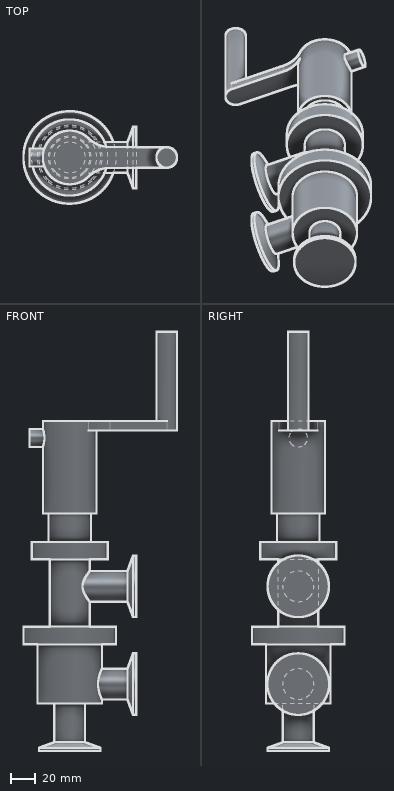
import cadquery as cq
import math


tube_diameter = 25.4
ferrule_diameter = 50.5
ferrule_rim = 2.85
ferrule_back_angle = 20.0
port_reach = 54.7
ferrule_cone = (ferrule_diameter - tube_diameter) / 2 * math.tan(math.radians(ferrule_back_angle))

bottom_tube_length = 39.0
lower_barrel_diameter = 53.0
lower_barrel_height = 48.5
lower_flange_diameter = 76.0
flange_height = 14.5
lower_port_z = 55.0

upper_barrel_diameter = 33.0
upper_barrel_height = 55.0
upper_flange_diameter = 62.5
port_spacing = 80.0

neck_diameter = 35.0
neck_height = 23.0
drum_diameter = 44.0
drum_height = 76.0
stud_diameter = 15.0
stud_reach = 33.0
stud_depth_from_top = 14.0
arm_thickness = 8.0
arm_blend_radius = 25.0
grip_diameter = 17.0
grip_x = 79.5
overall_height = 343.5

lower_barrel_top = bottom_tube_length + lower_barrel_height
lower_housing_top = lower_barrel_top + flange_height
upper_barrel_top = lower_housing_top + upper_barrel_height
upper_housing_top = upper_barrel_top + flange_height
neck_top = upper_housing_top + neck_height
drum_top = neck_top + drum_height
arm_bottom = drum_top - arm_thickness
upper_port_z = lower_port_z + port_spacing


def upright_cylinder(diameter, bottom, top):
    """Cylinder on the valve axis between two levels."""
    return cq.Workplane("XY").workplane(offset=bottom).circle(diameter / 2).extrude(top - bottom)


def ferrule_tube(length):
    """Tube along +Z with its ferrule face at Z = 0."""
    tube_radius = tube_diameter / 2
    rim_radius = ferrule_diameter / 2
    half_section = (
        cq.Workplane("XZ")
        .moveTo(0, 0)
        .lineTo(rim_radius, 0)
        .lineTo(rim_radius, ferrule_rim)
        .lineTo(tube_radius, ferrule_rim + ferrule_cone)
        .lineTo(tube_radius, length)
        .lineTo(0, length)
        .close()
    )
    return half_section.revolve(360, (0, 0, 0), (0, 1, 0))


def side_port(level):
    """Ferrule tube that runs from the valve axis out to +X."""
    return ferrule_tube(port_reach).rotate((0, 0, 0), (0, 1, 0), -90).translate((port_reach, 0, level))


def make_lower_housing():
    barrel = upright_cylinder(lower_barrel_diameter, bottom_tube_length, lower_barrel_top)
    flange = upright_cylinder(lower_flange_diameter, lower_barrel_top, lower_housing_top)
    bottom_port = ferrule_tube(bottom_tube_length)
    return bottom_port.union(barrel).union(flange).union(side_port(lower_port_z))


def make_upper_housing():
    barrel = upright_cylinder(upper_barrel_diameter, lower_housing_top, upper_barrel_top)
    flange = upright_cylinder(upper_flange_diameter, upper_barrel_top, upper_housing_top)
    return barrel.union(flange).union(side_port(upper_port_z))


def make_crank_arm():
    """Flat arm that flows out of the drum through two concave arcs and ends round about the grip."""
    half_width = grip_diameter / 2
    drum_radius = drum_diameter / 2
    blend_y = half_width + arm_blend_radius
    centre_distance = drum_radius + arm_blend_radius
    blend_x = math.sqrt(centre_distance**2 - blend_y**2)
    touch_x = blend_x * drum_radius / centre_distance
    touch_y = blend_y * drum_radius / centre_distance
    outline = (
        cq.Workplane("XY")
        .workplane(offset=arm_bottom)
        .moveTo(0, -touch_y)
        .lineTo(touch_x, -touch_y)
        .radiusArc((blend_x, -half_width), arm_blend_radius)
        .lineTo(grip_x, -half_width)
        .threePointArc((grip_x + half_width, 0), (grip_x, half_width))
        .lineTo(blend_x, half_width)
        .radiusArc((touch_x, touch_y), arm_blend_radius)
        .lineTo(0, touch_y)
        .close()
    )
    return outline.extrude(arm_thickness)


def make_actuator():
    neck = upright_cylinder(neck_diameter, upper_housing_top, neck_top)
    drum = upright_cylinder(drum_diameter, neck_top, drum_top)
    stud_centre = (0, 0, drum_top - stud_depth_from_top)
    stud = cq.Workplane("YZ", origin=stud_centre).circle(stud_diameter / 2).extrude(-stud_reach)
    grip = upright_cylinder(grip_diameter, arm_bottom, overall_height).translate((grip_x, 0, 0))
    return neck.union(drum).union(stud).union(make_crank_arm()).union(grip)


lower_housing = make_lower_housing()
upper_housing = make_upper_housing()
actuator = make_actuator()

result = cq.Compound.makeCompound([lower_housing.val(), upper_housing.val(), actuator.val()])